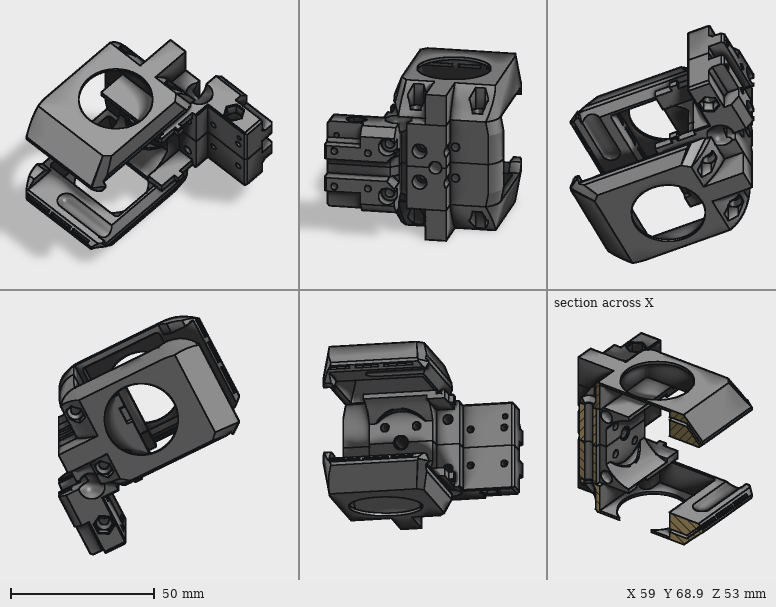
import cadquery as cq
import math


OUTER_Z = 26.5
MOUNT_Z = 15.5
TAPER_Z = 10.5
LEFT_X = -21.2
LEFT_TOP_X = -18.2
RIGHT_TRIM_X = 20.65
SHOULDER_Y = -7.2
SIDE_START_Y = -14.65
NOSE_ROUND_Y = -47.5
TIP_Y = -60.6
SHOULDER_RUN = 3.85
NOSE_RUN = 4.5

TAIL_LEFT_X = -3.8
TAIL_RIGHT_X = 3.5
BLOCK_RIGHT_X = 10.2
BRACKET_LEFT_X = 12.9
GAP_FLOOR_Y = -3.3
BRACKET_RIGHT_X = 37.8
BRACKET_BACK_Y = 8.25
BRACKET_FRONT_Y = -5.7
BRACKET_CHAMFER = 0.8
EDGE_CHAMFER = 0.4
BACK_CHAMFER_Y = 5.45
BACK_CHAMFER_Z = 12.3
STEP_X = 25.0
STEP_Y = 2.6
STEP_BEVEL = 1.4
LEDGE_Z = 8.25
CHANNEL_HALF = 3.45
CHANNEL_Y = 2.6
CHANNEL_FLARE = 2.7
PILLAR_RIGHT_X = 19.6
PILLAR_FRONT_Y = -11.6
FLANGE_FRONT_Y = -27.2
FLANGE_RIGHT_X = 17.8
FLANGE_INNER_Z = 12.5
WINDOW_LEFT_X = -11.2
WINDOW_RIGHT_X = 11.4
WINDOW_FLOOR_Y = -17.55
SADDLE_Y = -29.6
SADDLE_R = 14.05
BORE_R = 11.15
BORE_CHAMFER = 0.35
NUB_Y = -19.4
NUB_WIDTH = 2.75

CENTRE_HOLE_D = 4.5
CENTRE_RECESS_D = 5.0
CENTRE_RECESS_DEPTH = 0.7
FACE_HOLE_D = 2.9
FACE_HOLE_OFFSET = 5.65
FACE_HEAD_D = 5.0
MOUNT_BOLT = (15.5, 8.95)
MOUNT_BOLT_D = 3.4
MOUNT_HEAD_D = 6.0
MOUNT_HEAD_FLOOR_Y = 3.4
TOOL_RECESS = (13.9, -4.0)
TOOL_RECESS_R = 4.6
PLATE_HOLE_D = 2.3
PLATE_HOLE_XS = (22.2, 34.2)
PLATE_HOLE_Z = 6.5
PIN_HOLE_D = 1.7
PIN_HOLE = (34.55, 10.45)
SIDE_HOLE_D = 4.8
SIDE_HOLE = (-17.7, 12.25)
SIDE_HOLE_DEPTH = 5.5
CLAMP_HOLE_D = 3.4
DUCT_BOLTS = ((-13.15, -11.35), (8.8, -11.35))
BRACKET_BOLT = (28.3, -1.6)
NUT_CORNERS = 6.75
NUT_CHAMFER = 0.35
NUT_FUNNEL = 2.05
BRACKET_NUT_DEPTH = 4.5
DUCT_NUT_FLOOR_Z = 17.9

TOP_BACK_Y = -15.3
BACK_CURVE_MID = (-10.5, 21.35)
TOP_FRONT_Y = -52.3
TIP_HALF = 0.6
TIP_Z = 17.9
TAB_Z = 12.4
TAB_BACK_Y = -50.3
TAB_RIGHT_X = -16.25
RIGHT_TOP_X = 15.7
RIGHT_X = 17.6
RIGHT_KNEE_Z = 20.9
RIGHT_WAIST_Z = 18.9
RIGHT_INNER_X = 15.35
EAR_X = 18.8
EAR_BACK_Y = -56.45
FLOOR_T = 1.0
LEFT_WALL_T = 2.3
POCKET_RIGHT_X = 14.3
POCKET_BACK_Y = -16.3
POCKET_FRONT_Y = -46.1
POCKET_CORNER_R = 1.0
UPPER_FAN_X = -0.15
LOWER_FAN_X = -2.2
FAN_Y = -31.45
FAN_HOLE_D = 25.7
FAN_SCREW_OFFSET = 12.0
POST_D = 4.8
SLOT_Z = 16.6
SLOT_HEIGHT = 1.1
SLOT_LEFT_X = -15.7
SLOT_RIGHT_X = 13.8
SCOOP_Y = -53.0
SCOOP_R = 3.8
SCOOP_DEPTH = 1.8
SCOOP_LEFT = -1.0

BIG = 137.65


def box(x0, x1, y0, y1, z0, z1):
    size = cq.Workplane("XY").box(x1 - x0, y1 - y0, z1 - z0, centered=False)
    return size.translate((x0, y0, z0))


def along_x(points, x0, x1):
    """Extrude a (Y, Z) polygon from x0 to x1."""
    return cq.Workplane("YZ").polyline(points).close().extrude(x1 - x0).translate((x0, 0, 0))


def along_y(points, y0, y1):
    """Extrude an (X, Z) polygon from y0 to y1."""
    return cq.Workplane("XZ").polyline(points).close().extrude(y0 - y1).translate((0, y0, 0))


def along_z(points, z0, z1):
    return cq.Workplane("XY").workplane(offset=z0).polyline(points).close().extrude(z1 - z0)


def y_rod(diameter, x, z, y0, y1):
    return cq.Workplane("XZ").center(x, z).circle(diameter / 2).extrude(y0 - y1).translate((0, y0, 0))


def z_rod(diameter, x, y, z0, z1):
    return cq.Workplane("XY").workplane(offset=z0).center(x, y).circle(diameter / 2).extrude(z1 - z0)


def left_wall_x(z):
    """X of the leaning left wall at height z."""
    lean = (LEFT_TOP_X - LEFT_X) / (OUTER_Z - TAPER_Z)
    return LEFT_X + lean * max(0.0, z - TAPER_Z)


def tangent_arc_middle(left, start_y, run, end_y):
    """Middle of the arc that leaves the left wall tangentially at start_y and ends run further in."""
    rise = end_y - start_y
    radius = (run**2 + rise**2) / (2 * run)
    half_angle = math.atan2(abs(rise), radius - run) / 2
    middle_y = start_y + math.copysign(radius * math.sin(half_angle), rise)
    return (left + radius * (1 - math.cos(half_angle)), middle_y)


def plan_outline(z):
    """Plan outline at height z, rounded at both left corners."""
    left = left_wall_x(z)
    shoulder_mid = tangent_arc_middle(left, SIDE_START_Y, SHOULDER_RUN, SHOULDER_Y)
    nose_mid = tangent_arc_middle(left, NOSE_ROUND_Y, NOSE_RUN, TIP_Y)
    return (
        cq.Workplane("XY").workplane(offset=z)
        .moveTo(RIGHT_TRIM_X, SHOULDER_Y)
        .lineTo(left + SHOULDER_RUN, SHOULDER_Y)
        .threePointArc(shoulder_mid, (left, SIDE_START_Y))
        .lineTo(left, NOSE_ROUND_Y)
        .threePointArc(nose_mid, (left + NOSE_RUN, TIP_Y))
        .lineTo(RIGHT_TRIM_X, TIP_Y)
        .close()
    )


def leaning_solid(z0, z1):
    """Solid between two plan outlines, following the lean of the left wall."""
    wires = [plan_outline(z).wires().val() for z in (z0, z1)]
    return cq.Workplane(cq.Solid.makeLoft(wires, True))


def nut_pocket(x, y, z0, z1):
    """Hexagonal pocket from z0 up to its mouth at z1, with a chamfered rim."""
    start = cq.Workplane("XY").center(x, y)
    pocket = start.workplane(offset=z0).polygon(6, NUT_CORNERS).extrude(z1 - z0)
    rim = (
        start.workplane(offset=z1 - NUT_CHAMFER).polygon(6, NUT_CORNERS)
        .workplane(offset=NUT_CHAMFER).polygon(6, NUT_CORNERS + 2 * NUT_CHAMFER).loft(ruled=True)
    )
    funnel = cq.Solid.makeCone(
        CLAMP_HOLE_D / 2, NUT_CORNERS / 2 * math.cos(math.pi / 6), NUT_FUNNEL, cq.Vector(x, y, z0 - NUT_FUNNEL)
    )
    return pocket.union(rim).union(cq.Workplane(funnel))


def bracket():
    """Side plate with chamfered end, lowered ledge and cable channel."""
    plate = box(BRACKET_LEFT_X, BRACKET_RIGHT_X, BRACKET_FRONT_Y, BRACKET_BACK_Y, 0, MOUNT_Z)
    plate = plate.faces(">X").edges("not <Z").chamfer(BRACKET_CHAMFER)
    plate = plate.faces("<Y").edges(">Z").chamfer(EDGE_CHAMFER)
    back_chamfer = along_x(
        [(BACK_CHAMFER_Y, MOUNT_Z), (BRACKET_BACK_Y, BACK_CHAMFER_Z), (BRACKET_BACK_Y, MOUNT_Z)],
        BRACKET_LEFT_X, STEP_X,
    )
    ledge = along_x(
        [
            (STEP_Y, MOUNT_Z), (STEP_Y, LEDGE_Z + STEP_BEVEL), (STEP_Y + STEP_BEVEL, LEDGE_Z),
            (BRACKET_BACK_Y, LEDGE_Z), (BRACKET_BACK_Y, MOUNT_Z),
        ],
        STEP_X, BRACKET_RIGHT_X,
    )
    channel = box(BRACKET_LEFT_X, BRACKET_RIGHT_X, CHANNEL_Y, BRACKET_BACK_Y, 0, CHANNEL_HALF)
    flare_end = BRACKET_LEFT_X + CHANNEL_FLARE
    flare_side = along_z(
        [(BRACKET_LEFT_X, 0), (flare_end, CHANNEL_Y), (BRACKET_LEFT_X, CHANNEL_Y)], 0, CHANNEL_HALF
    )
    flare_top = along_y(
        [
            (BRACKET_LEFT_X, CHANNEL_HALF), (flare_end, CHANNEL_HALF),
            (BRACKET_LEFT_X, CHANNEL_HALF + CHANNEL_FLARE),
        ],
        0, BRACKET_BACK_Y,
    )
    return plate.cut(back_chamfer).cut(ledge).cut(channel).cut(flare_side).cut(flare_top)


def mount_blank():
    """Solid shape of a mount half before its holes."""
    shoulder = leaning_solid(0, TAPER_Z).union(leaning_solid(TAPER_Z, MOUNT_Z))
    shoulder = shoulder.intersect(box(-BIG, WINDOW_LEFT_X, SIDE_START_Y, SHOULDER_Y, 0, MOUNT_Z))
    window_block = box(WINDOW_LEFT_X, WINDOW_RIGHT_X, FLANGE_FRONT_Y, SHOULDER_Y, 0, MOUNT_Z)
    saddle = (
        cq.Workplane("YZ").center(SADDLE_Y, 0).circle(SADDLE_R)
        .extrude(WINDOW_RIGHT_X - WINDOW_LEFT_X).translate((WINDOW_LEFT_X, 0, 0))
        .intersect(box(-BIG, BIG, -BIG, WINDOW_FLOOR_Y, 0, BIG))
    )
    bore = y_rod(2 * BORE_R, 0, 0, FLANGE_FRONT_Y, WINDOW_FLOOR_Y)
    window_block = window_block.cut(saddle).cut(bore)
    window_block = window_block.edges("not(%LINE or %CIRCLE)").chamfer(BORE_CHAMFER)
    back_block = box(TAIL_LEFT_X, BLOCK_RIGHT_X, SHOULDER_Y, 0, 0, MOUNT_Z)
    pillar = box(BLOCK_RIGHT_X, PILLAR_RIGHT_X, PILLAR_FRONT_Y, GAP_FLOOR_Y, 0, MOUNT_Z)
    flange = box(WINDOW_RIGHT_X, FLANGE_RIGHT_X, FLANGE_FRONT_Y, PILLAR_FRONT_Y, FLANGE_INNER_Z, MOUNT_Z)
    nub = box(
        FLANGE_RIGHT_X, PILLAR_RIGHT_X, NUB_Y - NUB_WIDTH / 2, NUB_Y + NUB_WIDTH / 2, FLANGE_INNER_Z, MOUNT_Z
    )
    nub = nub.faces(">Z").edges("not <X").chamfer(EDGE_CHAMFER)
    pillar = pillar.faces(">Z").edges(">X").chamfer(EDGE_CHAMFER)
    return shoulder.union(window_block).union(back_block).union(pillar).union(flange).union(nub).union(bracket())


def mount_holes():
    """All holes that both mount halves share."""
    holes = y_rod(CENTRE_HOLE_D, 0, 0, -BIG, BIG)
    recess_floor = WINDOW_FLOOR_Y + CENTRE_RECESS_DEPTH
    holes = holes.union(y_rod(CENTRE_RECESS_D, 0, 0, FLANGE_FRONT_Y, recess_floor))
    for x in (-FACE_HOLE_OFFSET, FACE_HOLE_OFFSET):
        holes = holes.union(y_rod(FACE_HOLE_D, x, FACE_HOLE_OFFSET, -BIG, BIG))
        holes = holes.union(y_rod(FACE_HEAD_D, x, FACE_HOLE_OFFSET, SHOULDER_Y, BIG))
    holes = holes.union(y_rod(MOUNT_BOLT_D, *MOUNT_BOLT, -BIG, BIG))
    holes = holes.union(y_rod(MOUNT_HEAD_D, *MOUNT_BOLT, MOUNT_HEAD_FLOOR_Y, BIG))
    holes = holes.union(cq.Workplane("XY").sphere(TOOL_RECESS_R).translate((*TOOL_RECESS, MOUNT_Z)))
    for x in PLATE_HOLE_XS:
        holes = holes.union(y_rod(PLATE_HOLE_D, x, PLATE_HOLE_Z, -BIG, BIG))
    for x, y in (*DUCT_BOLTS, BRACKET_BOLT):
        holes = holes.union(z_rod(CLAMP_HOLE_D, x, y, 0, MOUNT_Z))
    holes = holes.union(nut_pocket(*BRACKET_BOLT, MOUNT_Z - BRACKET_NUT_DEPTH, MOUNT_Z))
    side_hole = (
        cq.Workplane("YZ").center(*SIDE_HOLE).circle(SIDE_HOLE_D / 2)
        .extrude(SIDE_HOLE_DEPTH).translate((WINDOW_LEFT_X, 0, 0))
    )
    return holes.union(side_hole)


def cable_notch(bottom_x0, bottom_x1, flare):
    """Shallow notch in the outer face of the flange, open to the front."""
    depth = 1.25
    length = 2.05
    profile = [
        (bottom_x0, MOUNT_Z - depth), (bottom_x1, MOUNT_Z - depth),
        (bottom_x1 + flare, MOUNT_Z), (bottom_x0 - flare, MOUNT_Z),
    ]
    return along_y(profile, FLANGE_FRONT_Y, FLANGE_FRONT_Y + length)


def mount_half(notch):
    return mount_blank().cut(mount_holes()).cut(notch)


def duct_blank():
    """Outer shape of a duct: leaning plan, side profile and front profile intersected."""
    tip_top = TIP_Z + TIP_HALF
    tip_bottom = TIP_Z - TIP_HALF
    lip_y = TIP_Y + tip_bottom - MOUNT_Z
    tab_front_y = TIP_Y + tip_bottom - TAB_Z
    side = (
        cq.Workplane("YZ").moveTo(TOP_BACK_Y, OUTER_Z)
        .threePointArc(BACK_CURVE_MID, (SHOULDER_Y, MOUNT_Z))
        .lineTo(lip_y, MOUNT_Z).lineTo(TIP_Y, tip_bottom).lineTo(TIP_Y, tip_top)
        .lineTo(TOP_FRONT_Y, OUTER_Z).close().extrude(2 * BIG).translate((-BIG, 0, 0))
    )
    tab = along_x(
        [
            (TAB_BACK_Y, TAB_Z), (tab_front_y, TAB_Z), (lip_y, MOUNT_Z),
            (TAB_BACK_Y + MOUNT_Z - TAB_Z, MOUNT_Z),
        ],
        -BIG, TAB_RIGHT_X,
    )
    tab_plan = plan_outline(MOUNT_Z).extrude(TAB_Z - MOUNT_Z)
    envelope = leaning_solid(MOUNT_Z, OUTER_Z).union(tab_plan)
    wall_profile = along_y(
        [
            (-BIG, 0), (RIGHT_INNER_X, 0), (RIGHT_INNER_X, MOUNT_Z), (RIGHT_X, RIGHT_WAIST_Z),
            (RIGHT_X, RIGHT_KNEE_Z), (RIGHT_TOP_X, OUTER_Z), (-BIG, OUTER_Z),
        ],
        -BIG, BIG,
    )
    ear_profile = along_y(
        [
            (0, MOUNT_Z), (EAR_X - 0.7, MOUNT_Z), (EAR_X, TIP_Z - 0.7), (EAR_X, TIP_Z + 0.7),
            (RIGHT_X, RIGHT_KNEE_Z), (RIGHT_TOP_X, OUTER_Z), (0, OUTER_Z),
        ],
        -BIG, EAR_BACK_Y,
    )
    body = envelope.intersect(side.union(tab)).intersect(wall_profile.union(ear_profile))
    return body.cut(nose_corner()).cut(back_corner())


def corner_bevel(low, low_z, high, high_z, outward):
    """Wedge outside the face between two (X, Y) chords, one at each height; outward is its Y direction."""
    reach = 6.9

    def outline(chord):
        (x0, y0), (x1, y1) = chord
        return [(x0, y0), (x1, y1), (x1 + reach, y1), (x1 + reach, y0 + outward * reach), (x0, y0 + outward * reach)]

    return (
        cq.Workplane("XY").workplane(offset=low_z).polyline(outline(low)).close()
        .workplane(offset=high_z - low_z).polyline(outline(high)).close().loft(ruled=True)
    )


def nose_corner():
    """Bevel of the front-right corner of the nose, following its slope."""
    tip_chord = ((15.9, TIP_Y), (EAR_X, EAR_BACK_Y - 0.35))
    top_chord = ((13.5, TOP_FRONT_Y), (RIGHT_TOP_X, TOP_FRONT_Y + 2.05))
    below = corner_bevel(tip_chord, TAB_Z, tip_chord, TIP_Z, -1)
    return below.union(corner_bevel(tip_chord, TIP_Z, top_chord, OUTER_Z, -1))


def back_corner():
    """Bevel of the back-right corner, leaning with the curved back."""
    inner_chord = ((14.7, -9.35), (17.7, -12.1))
    outer_chord = ((13.5, TOP_BACK_Y), (RIGHT_TOP_X, -18.25))
    return corner_bevel(inner_chord, MOUNT_Z, outer_chord, OUTER_Z, 1)


def pocket():
    """Open chamber under the fan."""
    left_x = left_wall_x(MOUNT_Z) + LEFT_WALL_T
    top_left_x = left_wall_x(OUTER_Z) + LEFT_WALL_T
    floor_z = OUTER_Z - FLOOR_T
    chamber = box(left_x, POCKET_RIGHT_X, POCKET_FRONT_Y, POCKET_BACK_Y, MOUNT_Z, floor_z)
    chamber = chamber.edges("|Z").fillet(POCKET_CORNER_R)
    lean = along_y(
        [(left_x, MOUNT_Z), (BIG, MOUNT_Z), (BIG, floor_z), (top_left_x, floor_z)], -BIG, BIG
    )
    return chamber.intersect(lean)


def air_slot(x0, x1):
    """Outlet from the chamber, down through the nose to its lower lip."""
    half = SLOT_HEIGHT / 2
    mouth_z = SLOT_Z
    mouth_y = TIP_Y + TIP_Z - TIP_HALF - SLOT_Z
    rise = 6.2
    overrun = 1.4
    profile = [
        (mouth_y - overrun, mouth_z - overrun + half), (mouth_y - overrun, mouth_z - overrun - half),
        (mouth_y + rise, mouth_z + rise - half), (POCKET_FRONT_Y + 0.7, mouth_z + rise - half),
        (POCKET_FRONT_Y + 0.7, mouth_z + rise + half), (mouth_y + rise, mouth_z + rise + half),
    ]
    return along_x(profile, x0, x1)


def scoop(left_x):
    """Cylindrical hollow along the inner face of the nose, round at the left and open at the right."""
    axis_z = MOUNT_Z - SCOOP_R + SCOOP_DEPTH
    rod = cq.Workplane("YZ").center(SCOOP_Y, axis_z).circle(SCOOP_R).extrude(BIG)
    end = cq.Workplane("XY").sphere(SCOOP_R).translate((0, SCOOP_Y, axis_z))
    return rod.union(end).translate((left_x, 0, 0))


def fan_post(fan_x):
    """Screw post of the fan, joined to the right wall."""
    x = fan_x + FAN_SCREW_OFFSET
    y = FAN_Y + FAN_SCREW_OFFSET
    post = z_rod(POST_D, x, y, MOUNT_Z, OUTER_Z)
    web = box(x, POCKET_RIGHT_X, y - POST_D / 2, y + POST_D / 2, MOUNT_Z, OUTER_Z)
    return post.union(web)


def duct(fan_x, rib_spans):
    tail = box(TAIL_LEFT_X, TAIL_RIGHT_X, TOP_BACK_Y, 0, MOUNT_Z, OUTER_Z)
    body = duct_blank().union(tail).cut(pocket())
    body = body.cut(z_rod(FAN_HOLE_D, fan_x, FAN_Y, OUTER_Z - FLOOR_T, OUTER_Z))
    starts = [SLOT_LEFT_X] + [span[1] for span in rib_spans]
    ends = [span[0] for span in rib_spans] + [SLOT_RIGHT_X]
    for x0, x1 in zip(starts, ends):
        body = body.cut(air_slot(x0, x1))
    for x, y in DUCT_BOLTS:
        body = body.cut(z_rod(CLAMP_HOLE_D, x, y, MOUNT_Z, OUTER_Z))
        body = body.cut(nut_pocket(x, y, DUCT_NUT_FLOOR_Z, OUTER_Z))
    return body.cut(scoop(fan_x + SCOOP_LEFT))


upper_mount = mount_half(cable_notch(14.8, 16.65, 0)).cut(y_rod(PIN_HOLE_D, *PIN_HOLE, -BIG, BIG))
lower_mount = mount_half(cable_notch(-6.05, -1.1, 0.6)).mirror("XY")
upper_duct = duct(UPPER_FAN_X, ((-8.75, -6.6), (1.4, 3.5)))
lower_duct = duct(LOWER_FAN_X, ((-5.15, -4.0), (5.0, 6.2))).union(fan_post(LOWER_FAN_X)).mirror("XY")

result = cq.Compound.makeCompound(
    [upper_mount.val(), lower_mount.val(), upper_duct.val(), lower_duct.val()]
)